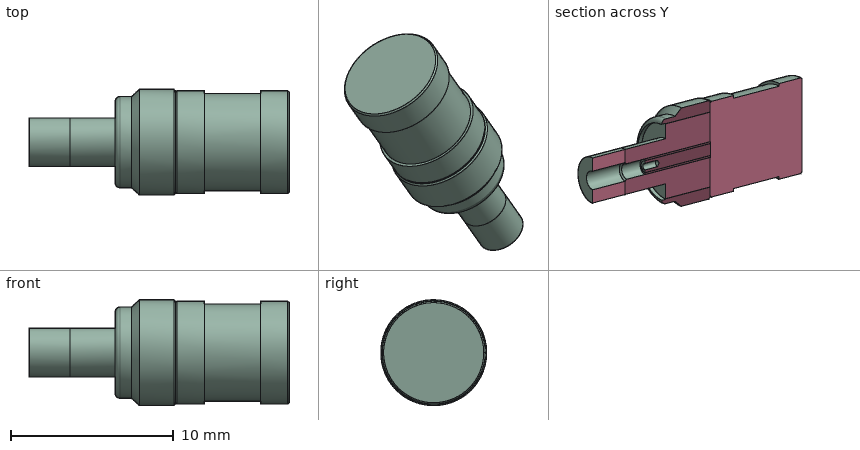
import cadquery as cq
import math

LENGTH = 16.0
FERRULE_START = 2.5
SHELL_START = 5.28
SHELL_CONE_START = 6.3
SHELL_CONE_END = 6.78
NUT_START = 9.0
GRIP_GROOVE_START = 10.78
GRIP_GROOVE_END = 14.24
INSULATOR_START = 4.0

SHELL_DIAMETER = 6.53
LIP_DIAMETER = 5.63
SHELL_BORE_DIAMETER = 5.0
LIP_ROUNDING = (LIP_DIAMETER - SHELL_BORE_DIAMETER) / 2
LIP_RECESS = 0.3
SHELL_CHAMFER = 0.1

NUT_DIAMETER = 6.35
NUT_CHAMFER = 0.1
GRIP_GROOVE_DIAMETER = 6.0

CABLE_DIAMETER = 3.0
CABLE_BORE_DIAMETER = 1.2
FERRULE_BORE_DIAMETER = 1.0
COUNTERSINK_DEPTH = (CABLE_BORE_DIAMETER - FERRULE_BORE_DIAMETER) / 2

CONTACT_DIAMETER = 0.75
CUP_DIAMETER = 0.4
CUP_DEPTH = 0.96
DRILL_TIP_ANGLE = 118.0


def disc(diameter, start, end):
    """Solid cylinder around the X axis."""
    return cq.Workplane("YZ", origin=(start, 0, 0)).circle(diameter / 2).extrude(end - start)


def revolve_about_axis(profile):
    """Full turn of an XY profile around the X axis."""
    return profile.close().revolve(360, (0, 0, 0), (1, 0, 0))


def make_cable_jacket():
    jacket = disc(CABLE_DIAMETER, 0, FERRULE_START)
    return jacket.cut(disc(CABLE_BORE_DIAMETER, 0, FERRULE_START))


def make_ferrule():
    """Stem and flange with a countersunk bore that ends at the nut."""
    stem = disc(CABLE_DIAMETER, FERRULE_START, NUT_START)
    flange = disc(SHELL_BORE_DIAMETER, SHELL_START + LIP_RECESS, NUT_START)
    bore = disc(FERRULE_BORE_DIAMETER, FERRULE_START, NUT_START)
    bored = stem.union(flange).cut(bore)
    bore_rim = bored.faces("<X").edges(cq.selectors.RadiusNthSelector(0))
    return bore_rim.chamfer(COUNTERSINK_DEPTH)


def make_shell():
    """Sleeve with a rounded lip, a conical shoulder and a chamfered end."""
    lip_radius = LIP_DIAMETER / 2
    shell_radius = SHELL_DIAMETER / 2
    bore_radius = SHELL_BORE_DIAMETER / 2
    profile = (
        cq.Workplane("XY")
        .moveTo(SHELL_START, bore_radius)
        .radiusArc((SHELL_START + LIP_ROUNDING, lip_radius), LIP_ROUNDING)
        .lineTo(SHELL_CONE_START, lip_radius)
        .lineTo(SHELL_CONE_END, shell_radius)
        .lineTo(NUT_START - SHELL_CHAMFER, shell_radius)
        .lineTo(NUT_START, shell_radius - SHELL_CHAMFER)
        .lineTo(NUT_START, bore_radius)
    )
    return revolve_about_axis(profile)


def make_coupling_nut():
    """Nut with both ends chamfered and a wide grip groove."""
    nut = disc(NUT_DIAMETER, NUT_START, LENGTH).edges().chamfer(NUT_CHAMFER)
    groove_outside = disc(NUT_DIAMETER, GRIP_GROOVE_START, GRIP_GROOVE_END)
    groove_floor = disc(GRIP_GROOVE_DIAMETER, GRIP_GROOVE_START, GRIP_GROOVE_END)
    return nut.cut(groove_outside.cut(groove_floor))


def make_insulator():
    insulator = disc(FERRULE_BORE_DIAMETER, INSULATOR_START, NUT_START)
    return insulator.cut(disc(CONTACT_DIAMETER, INSULATOR_START, NUT_START))


def make_contact():
    """Pin with a blind cup that has a conical drill tip."""
    pin = disc(CONTACT_DIAMETER, INSULATOR_START, NUT_START)
    cup_radius = CUP_DIAMETER / 2
    cup_end = INSULATOR_START + CUP_DEPTH
    tip_length = cup_radius / math.tan(math.radians(DRILL_TIP_ANGLE / 2))
    cup_profile = (
        cq.Workplane("XY")
        .moveTo(INSULATOR_START, 0)
        .lineTo(INSULATOR_START, cup_radius)
        .lineTo(cup_end, cup_radius)
        .lineTo(cup_end + tip_length, 0)
    )
    return pin.cut(revolve_about_axis(cup_profile))


cable_jacket = make_cable_jacket()
ferrule = make_ferrule()
shell = make_shell()
coupling_nut = make_coupling_nut()
insulator = make_insulator()
contact = make_contact()

result = cq.Compound.makeCompound(
    [
        cable_jacket.val(),
        ferrule.val(),
        shell.val(),
        coupling_nut.val(),
        insulator.val(),
        contact.val(),
    ]
)